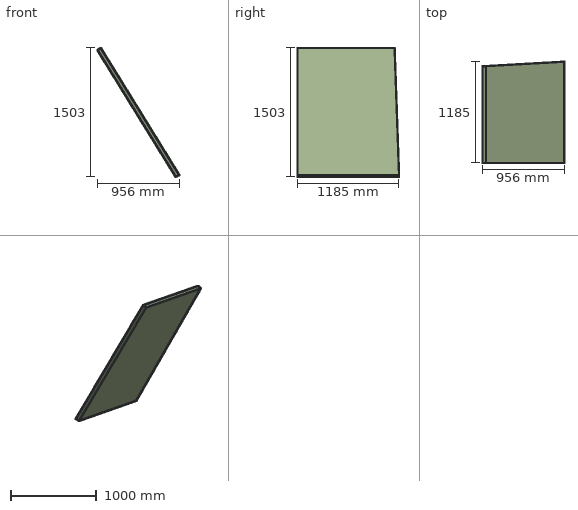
import cadquery as cq
import math

width = 956.0
height = 1503.0
depth_low = 1185.0
depth_high = 1130.0
thickness = 48.0
lower_end_rise = 21.0
lower_end_inset = 44.0

settling_passes = 20
drop = height - lower_end_rise
upper_end_run = 0.0
for _ in range(settling_passes):
    slope = math.atan2(drop, width - upper_end_run)
    upper_end_run = thickness * math.sin(slope)
upper_end_drop = thickness * math.cos(slope)

upper_under_edge = (0, height - upper_end_drop)
upper_edge = (upper_end_run, height)
lower_edge = (width, lower_end_rise)
lower_under_edge = (width - lower_end_inset, 0)
panel = (
    cq.Workplane("XZ")
    .polyline([upper_under_edge, upper_edge, lower_edge, lower_under_edge])
    .close()
    .extrude(-depth_low)
)

side_taper = (
    cq.Workplane("XY")
    .polyline([(0, depth_high), (width, depth_low), (0, depth_low)])
    .close()
    .extrude(height)
)

result = panel.cut(side_taper)